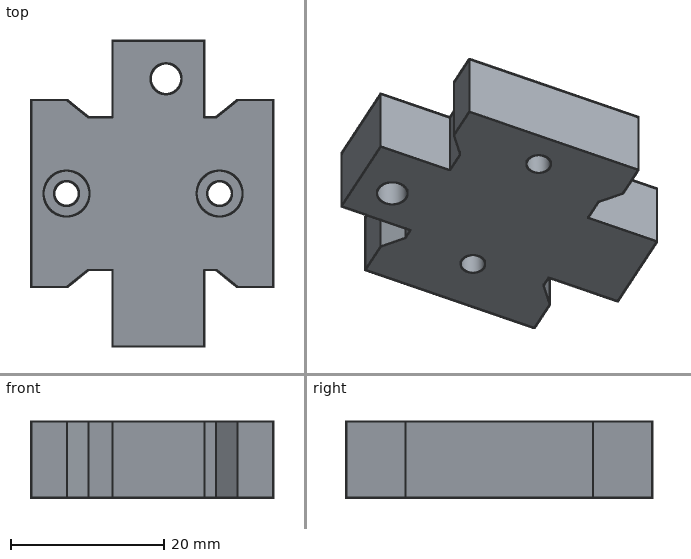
import cadquery as cq

body_width = 31.7
body_length = 24.5
thickness = 10.0

tongue_width = 12.0
tongue_length = 40.0
tongue_offset = 0.8

recess_floor_length = 20.0
recess_mouth_width = 22.3
recess_floor_width = 16.7

screw_spacing = 20.0
screw_centre_x = -1.2
screw_diameter = 3.2
counterbore_diameter = 6.0
counterbore_depth = 2.0

pin_diameter = 4.0
pin_x = 1.8
pin_edge_distance = 5.0
pin_y = tongue_length / 2 - pin_edge_distance


def make_recess(end):
    """Trapezoidal cutter for the body end at +Y (end = 1) or -Y (end = -1)."""
    mouth_y = end * body_length / 2
    floor_y = end * recess_floor_length / 2
    return (
        cq.Workplane("XY")
        .moveTo(-recess_mouth_width / 2, mouth_y)
        .lineTo(-recess_floor_width / 2, floor_y)
        .lineTo(recess_floor_width / 2, floor_y)
        .lineTo(recess_mouth_width / 2, mouth_y)
        .close()
        .extrude(thickness)
    )


result = cq.Workplane("XY").box(body_width, body_length, thickness, centered=(True, True, False))
for end in (1, -1):
    result = result.cut(make_recess(end))

tongue = (
    cq.Workplane("XY")
    .center(tongue_offset, 0)
    .box(tongue_width, tongue_length, thickness, centered=(True, True, False))
)
result = result.union(tongue)

screw_points = [(screw_centre_x + side * screw_spacing / 2, 0) for side in (-1, 1)]
result = (
    result.faces(">Z")
    .workplane(origin=(0, 0, thickness))
    .pushPoints(screw_points)
    .cboreHole(screw_diameter, counterbore_diameter, counterbore_depth)
)

result = (
    result.faces(">Z")
    .workplane(origin=(0, 0, thickness))
    .pushPoints([(pin_x, pin_y)])
    .hole(pin_diameter)
)